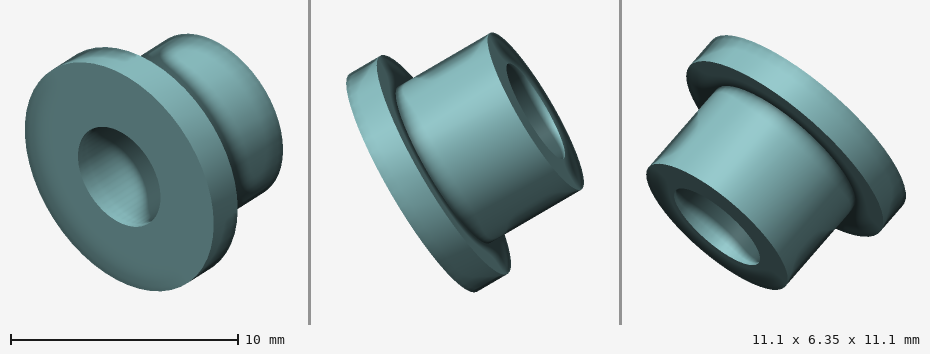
import cadquery as cq

flange_diameter = 11.11
flange_thickness = 1.59
barrel_diameter = 7.98
bore_diameter = 4.85
overall_length = 6.35


def cylinder_along_y(diameter, length):
    """Cylinder from Y = 0 towards +Y, centred on the bushing axis."""
    return cq.Workplane("XZ").circle(diameter / 2).extrude(-length)


flange = cylinder_along_y(flange_diameter, flange_thickness)
barrel = cylinder_along_y(barrel_diameter, overall_length)
bore = cylinder_along_y(bore_diameter, overall_length)

result = flange.union(barrel).cut(bore)